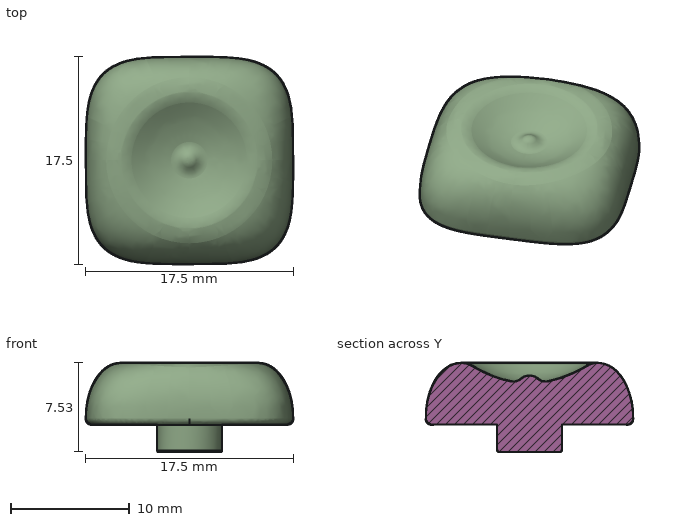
import cadquery as cq
import math

width = 17.48
cap_height = 5.23
stem_height = 2.3
stem_diameter = 5.5
stem_chamfer = 0.14
foot_height = 0.61
edge_round = 0.52

outline_exponent = 3.8
wall_exponent = 2.0
crest_radius = 5.77
rim_radius = 7.0
section_count = 9
points_per_quarter = 9

dish_radius = 4.86
lip_radius = 5.72
dish_edge_height = 5.0
ring_radius = 1.54
ring_height = 3.67
nipple_radius = 0.6
nipple_height = 3.99
nipple_top = 4.16
cutter_clearance = 0.17

level = (1, 0)
nipple_slope = (1, -0.9)
ring_slope = (1, 0.2)
dish_edge_slope = (1, 0.6)


def superellipse_radius(angle):
    """Distance from the axis to the bottom outline in the given direction."""
    x_part = abs(math.cos(angle)) ** outline_exponent
    y_part = abs(math.sin(angle)) ** outline_exponent
    return width / 2 / (x_part + y_part) ** (1 / outline_exponent)


def wall_section(spread, z):
    """Closed outline between the crest circle (spread 0) and the bottom outline (spread 1)."""
    quarters = []
    for quarter in range(4):
        points = []
        for step in range(points_per_quarter):
            angle = math.pi / 2 * (quarter + step / (points_per_quarter - 1))
            radius = crest_radius + spread * (superellipse_radius(angle) - crest_radius)
            points.append(cq.Vector(radius * math.cos(angle), radius * math.sin(angle), z))
        start = math.pi / 2 * quarter
        end = start + math.pi / 2
        tangents = [cq.Vector(-math.sin(a), math.cos(a), 0) for a in (start, end)]
        quarters.append(cq.Edge.makeSpline(points, tangents=tangents))
    return cq.Wire.assembleEdges(quarters)


def make_cap():
    """Straight foot with a rounded bottom edge, blended up to the crest circle."""
    sections = [wall_section(1.0, 0)]
    for index in range(section_count):
        turn = math.pi / 2 * index / (section_count - 1)
        spread = max(math.cos(turn), 0) ** (2 / wall_exponent)
        rise = math.sin(turn) ** (2 / wall_exponent)
        sections.append(wall_section(spread, foot_height + (cap_height - foot_height) * rise))
    cap = cq.Workplane(obj=cq.Solid.makeLoft(sections))
    return cap.faces("<Z").edges().fillet(edge_round)


def make_dish_cutter():
    """Space above the rolled lip, the bowl and the nipple, revolved about Z."""
    return (
        cq.Workplane("XZ")
        .moveTo(0, nipple_top)
        .spline([(nipple_radius, nipple_height)], tangents=[level, nipple_slope], includeCurrent=True)
        .spline([(ring_radius, ring_height)], tangents=[nipple_slope, ring_slope], includeCurrent=True)
        .spline([(dish_radius, dish_edge_height)], tangents=[ring_slope, dish_edge_slope],
                includeCurrent=True)
        .spline([(lip_radius, cap_height)], tangents=[dish_edge_slope, level], includeCurrent=True)
        .lineTo(lip_radius, cap_height + cutter_clearance)
        .lineTo(0, cap_height + cutter_clearance)
        .close()
        .revolve(360, (0, 0, 0), (0, 1, 0))
    )


def make_stem():
    """Round peg under the cap."""
    stem = cq.Workplane("XY").circle(stem_diameter / 2).extrude(-stem_height)
    return stem.faces("<Z").chamfer(stem_chamfer)


def divide_at_rim(cap):
    """Keep the cap whole but divide its outer face along the rim circle."""
    core = cq.Workplane("XY").circle(rim_radius).extrude(cap_height + cutter_clearance)
    return cap.cut(core, clean=False).union(cap.intersect(core, clean=False), clean=False)


cap = make_cap().cut(make_dish_cutter(), clean=False)
result = divide_at_rim(cap).union(make_stem(), clean=False)